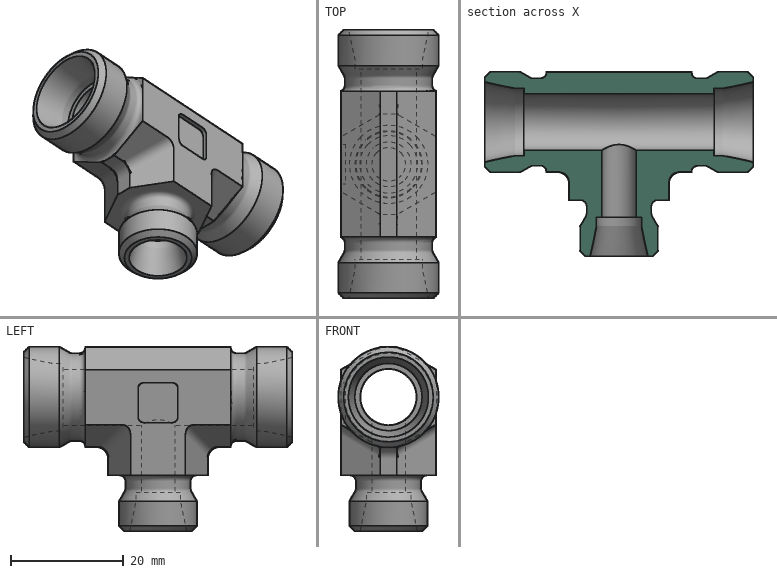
import cadquery as cq
import math

ACROSS_FLATS = 17.0
TIP_FLAT = 3.0
RUN_BODY_HALF_LENGTH = 13.0
BRANCH_BODY_LENGTH = 14.0
JUNCTION_RADIUS = 2.0

END_REACH = 24.0
RUN_THREAD_DIAMETER = 18.0
RUN_BORE = 10.0
RUN_TUBE_DIAMETER = 12.0
BRANCH_THREAD_DIAMETER = 14.0
BRANCH_BORE = 6.0
BRANCH_TUBE_DIAMETER = 8.0

THREAD_DEPTH = 1.15
GROOVE_LENGTH = 2.6
RUNOUT_ANGLE = 30.0
END_CHAMFER = 1.0
GROOVE_RADIUS = 1.0
SEAT_HALF_ANGLE = 12.0
SEAT_WIDENING = 1.15
TUBE_STOP_DEPTH = 7.0

RECESS_SIZE = 7.1
RECESS_CORNER_RADIUS = 1.0
RECESS_DEPTH = 0.8
RECESS_CENTER_Z = -1.0

TOLERANCE = 1e-3

HALF_FLATS = ACROSS_FLATS / 2
SLOPE = math.tan(math.radians(30))
SIDE_CORNER = HALF_FLATS * SLOPE
TIP_HEIGHT = 2 * SIDE_CORNER - TIP_FLAT / 2 * SLOPE


def hexagon_bar(plane, length):
    """Bar with flats at +-X and blunted tips, extruded along the plane normal."""
    half_outline = [
        (TIP_FLAT / 2, TIP_HEIGHT),
        (HALF_FLATS, SIDE_CORNER),
        (HALF_FLATS, -SIDE_CORNER),
        (TIP_FLAT / 2, -TIP_HEIGHT),
    ]
    other_half = [(-x, -y) for x, y in half_outline]
    return cq.Workplane(plane).polyline(half_outline + other_half).close().extrude(length)


def is_junction_edge(edge):
    """True for the concave edges where the lower run faces meet the branch faces."""
    ends = (edge.startPoint(), edge.endPoint())
    return all(abs(abs(point.y) + point.z) < TOLERANCE for point in ends)


def tee_body():
    """Run and branch bars joined, with filleted inner corners."""
    run = hexagon_bar("XZ", RUN_BODY_HALF_LENGTH)
    run = run.union(run.mirror("XZ"))
    branch = hexagon_bar(cq.Plane((0, 0, 0), (1, 0, 0), (0, 0, -1)), BRANCH_BODY_LENGTH)
    body = run.union(branch).clean()
    edges = [edge for edge in body.edges().vals() if is_junction_edge(edge)]
    return body.newObject(edges).fillet(JUNCTION_RADIUS)


def end_blank(plane, thread_diameter, shoulder):
    """Threaded end outside shape; the plane's local Y axis points outwards."""
    thread_radius = thread_diameter / 2
    groove_radius = thread_radius - THREAD_DEPTH
    arc_center_radius = groove_radius + GROOVE_RADIUS
    corner = shoulder + GROOVE_LENGTH
    thread_start = corner + THREAD_DEPTH / math.tan(math.radians(RUNOUT_ANGLE))

    bend = math.radians(RUNOUT_ANGLE)
    tangent = GROOVE_RADIUS * math.tan(bend / 2)
    bend_start = corner - tangent
    bend_middle = (
        arc_center_radius - GROOVE_RADIUS * math.cos(bend / 2),
        bend_start + GROOVE_RADIUS * math.sin(bend / 2),
    )
    bend_end = (
        arc_center_radius - GROOVE_RADIUS * math.cos(bend),
        bend_start + GROOVE_RADIUS * math.sin(bend),
    )
    flare_middle = (
        arc_center_radius - GROOVE_RADIUS * math.cos(math.pi / 4),
        shoulder + GROOVE_RADIUS - GROOVE_RADIUS * math.sin(math.pi / 4),
    )
    profile = (
        cq.Workplane(plane)
        .moveTo(0, 0)
        .lineTo(groove_radius, 0)
        .lineTo(groove_radius, shoulder)
        .lineTo(arc_center_radius, shoulder)
        .threePointArc(flare_middle, (groove_radius, shoulder + GROOVE_RADIUS))
        .lineTo(groove_radius, bend_start)
        .threePointArc(bend_middle, bend_end)
        .lineTo(thread_radius, thread_start)
        .lineTo(thread_radius, END_REACH - END_CHAMFER)
        .lineTo(thread_radius - END_CHAMFER, END_REACH)
        .lineTo(0, END_REACH)
        .close()
    )
    return profile.revolve(360, (0, 0), (0, 1))


def end_cavity(plane, bore, tube_diameter):
    """Bore, tube socket and sealing cone from the tee centre out to the end face."""
    tube_radius = tube_diameter / 2
    seat_length = SEAT_WIDENING / math.tan(math.radians(SEAT_HALF_ANGLE))
    tube_stop = END_REACH - TUBE_STOP_DEPTH
    outline = [
        (0, 0),
        (bore / 2, 0),
        (bore / 2, tube_stop),
        (tube_radius, tube_stop),
        (tube_radius, END_REACH - seat_length),
        (tube_radius + SEAT_WIDENING, END_REACH),
        (0, END_REACH),
    ]
    return cq.Workplane(plane).polyline(outline).close().revolve(360, (0, 0), (0, 1))


def trim_flare(blank):
    """Cut the flare of a run end flush with the side flats of the body."""
    flare_end = RUN_BODY_HALF_LENGTH + GROOVE_RADIUS
    trimmed = blank.intersect(hexagon_bar("XZ", flare_end))
    outer_part = (
        cq.Workplane("XZ", origin=(0, -flare_end, 0))
        .circle(RUN_THREAD_DIAMETER)
        .extrude(END_REACH - flare_end)
        .intersect(blank)
    )
    return trimmed.union(outer_part)


def side_recess():
    """Rounded square pocket sunk into the -X flat."""
    return (
        cq.Workplane("YZ", origin=(-HALF_FLATS, 0, RECESS_CENTER_Z))
        .rect(RECESS_SIZE, RECESS_SIZE)
        .extrude(RECESS_DEPTH)
        .edges("|X")
        .fillet(RECESS_CORNER_RADIUS)
    )


RUN_END_PLANE = cq.Plane((0, 0, 0), (1, 0, 0), (0, 0, -1))
BRANCH_END_PLANE = cq.Plane((0, 0, 0), (1, 0, 0), (0, 1, 0))

run_end = trim_flare(end_blank(RUN_END_PLANE, RUN_THREAD_DIAMETER, RUN_BODY_HALF_LENGTH))
run_cavity = end_cavity(RUN_END_PLANE, RUN_BORE, RUN_TUBE_DIAMETER)
branch_end = end_blank(BRANCH_END_PLANE, BRANCH_THREAD_DIAMETER, BRANCH_BODY_LENGTH)
branch_cavity = end_cavity(BRANCH_END_PLANE, BRANCH_BORE, BRANCH_TUBE_DIAMETER)

result = tee_body().union(branch_end).union(run_end).union(run_end.mirror("XZ"))
result = result.cut(run_cavity).cut(run_cavity.mirror("XZ")).cut(branch_cavity)
result = result.cut(side_recess())